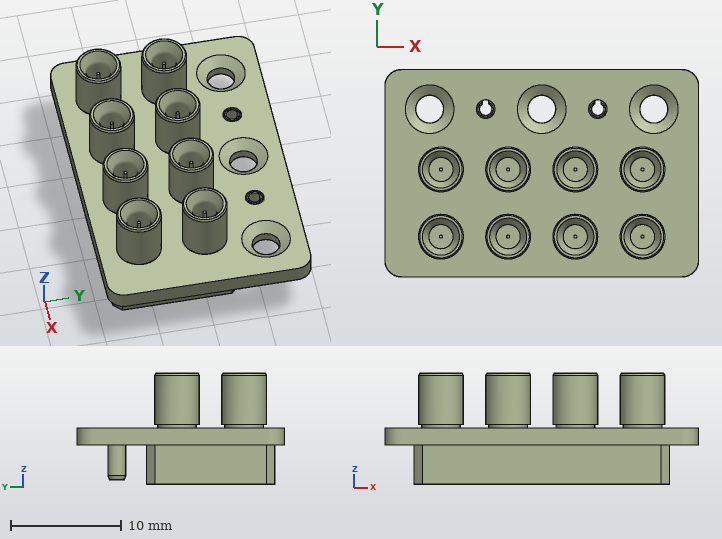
import cadquery as cq
import math

plate_length = 28.45
plate_width = 18.8
plate_thickness = 1.56
plate_corner_radius = 1.5

rear_row_y = 5.8
screw_pitch = 10.15
screw_hole_diameter = 2.5
countersink_diameter = 4.4
countersink_angle = 105
screw_positions = [(i * screw_pitch, rear_row_y) for i in (-1, 0, 1)]

pin_positions = [(side * screw_pitch / 2, rear_row_y) for side in (-1, 1)]
pin_radius = 1.68 / 2
pin_bore_diameter = 1.1
pin_slot_width = 0.55
pin_projection = 3.15
pin_length = plate_thickness + pin_projection
pin_chamfer_height = 0.4
pin_chamfer_width = 0.15

jack_pitch = 6.1
jack_grid_y = -2.7
jack_columns = 4
jack_rows = 2
jack_height = 4.95
jack_radius = 4.07 / 2
jack_neck_radius = 3.53 / 2
jack_neck_height = 0.28
jack_chamfer_width = 0.1
jack_chamfer_height = 0.2
mouth_radius = 3.35 / 2
throat_radius = 2.2 / 2
mouth_half_angle = math.radians(30)
throat_fillet = 0.7
contact_radius = 0.28 / 2
contact_tip_depth = 1.17

block_length = 23.15
block_width = 11.65
block_height = 3.55
block_chamfer = 0.77


def make_plate():
    plate = (
        cq.Workplane("XY")
        .box(plate_length, plate_width, plate_thickness, centered=(True, True, False))
        .translate((0, 0, -plate_thickness))
        .edges("|Z")
        .fillet(plate_corner_radius)
    )
    plate = (
        plate.faces(">Z").workplane(origin=(0, 0, 0))
        .pushPoints(screw_positions)
        .cskHole(screw_hole_diameter, countersink_diameter, countersink_angle)
    )
    return (
        plate.faces(">Z").workplane(origin=(0, 0, 0))
        .pushPoints(pin_positions)
        .hole(2 * pin_radius)
    )


def make_block():
    return (
        cq.Workplane("XY")
        .box(block_length, block_width, block_height, centered=(True, True, False))
        .edges("|Z")
        .chamfer(block_chamfer)
        .translate((0, jack_grid_y, -plate_thickness - block_height))
    )


def make_jack():
    """Jack standing on Z = 0: a tube with a tapered mouth, a rounded throat and a centre contact."""
    arc_centre_radius = throat_radius + throat_fillet
    taper_end_radius = arc_centre_radius - throat_fillet * math.cos(mouth_half_angle)
    taper_depth = (mouth_radius - taper_end_radius) / math.tan(mouth_half_angle)
    taper_end_z = jack_height - taper_depth
    bore_start_z = taper_end_z - throat_fillet * math.sin(mouth_half_angle)
    arc_mid_radius = arc_centre_radius - throat_fillet * math.cos(mouth_half_angle / 2)
    arc_mid_z = bore_start_z + throat_fillet * math.sin(mouth_half_angle / 2)

    shell = (
        cq.Workplane("XZ")
        .moveTo(throat_radius, 0)
        .lineTo(jack_neck_radius, 0)
        .lineTo(jack_neck_radius, jack_neck_height)
        .lineTo(jack_radius, jack_neck_height)
        .lineTo(jack_radius, jack_height - jack_chamfer_height)
        .lineTo(jack_radius - jack_chamfer_width, jack_height)
        .lineTo(mouth_radius, jack_height)
        .lineTo(taper_end_radius, taper_end_z)
        .threePointArc((arc_mid_radius, arc_mid_z), (throat_radius, bore_start_z))
        .close()
        .revolve(360, (0, 0, 0), (0, 1, 0))
    )
    contact = cq.Workplane("XY").circle(contact_radius).extrude(jack_height - contact_tip_depth)
    return shell, contact


def make_housing():
    housing = make_plate().union(make_block())
    shell, contact = make_jack()
    for column in range(jack_columns):
        for row in range(jack_rows):
            x = (column - (jack_columns - 1) / 2) * jack_pitch
            y = jack_grid_y + (row - (jack_rows - 1) / 2) * jack_pitch
            housing = housing.union(shell.translate((x, y, 0)))
            housing = housing.union(contact.translate((x, y, 0)))
    return housing


def make_roll_pin(position):
    """Hollow roll pin, chamfered at both ends and split along its +Y side, flush with the plate top."""
    x, y = position
    end_radius = pin_radius - pin_chamfer_width
    body = (
        cq.Workplane("XZ")
        .lineTo(end_radius, 0)
        .lineTo(pin_radius, -pin_chamfer_height)
        .lineTo(pin_radius, pin_chamfer_height - pin_length)
        .lineTo(end_radius, -pin_length)
        .lineTo(0, -pin_length)
        .close()
        .revolve(360, (0, 0, 0), (0, 1, 0))
    )
    bore = cq.Workplane("XY").circle(pin_bore_diameter / 2).extrude(-pin_length)
    slot = cq.Workplane("XY").box(pin_slot_width, pin_radius, pin_length, centered=(True, False, False))
    slot = slot.translate((0, 0, -pin_length))
    return body.cut(bore).cut(slot).translate((x, y, 0))


housing = make_housing()
roll_pins = [make_roll_pin(position) for position in pin_positions]

result = cq.Compound.makeCompound([housing.val(), *[pin.val() for pin in roll_pins]])